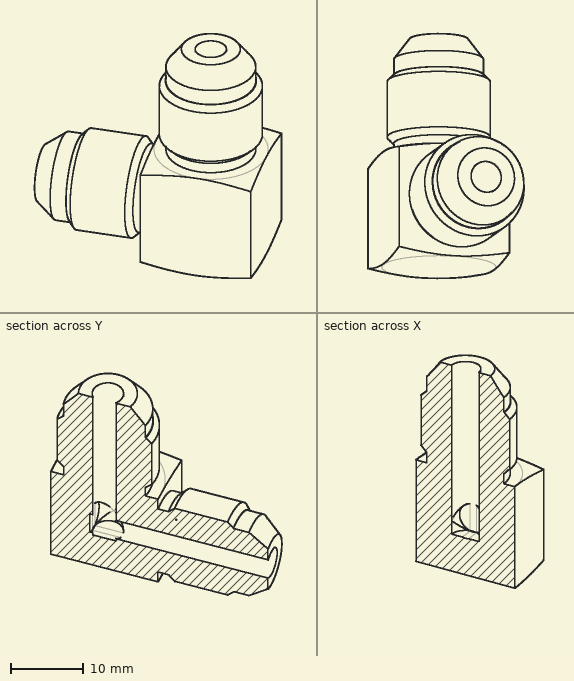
import cadquery as cq
import math

overall_size = 32.13
block_side = 15.88
half_block = block_side / 2
corner_bevel_angle = 15.0
bevel_circle_radius = 7.9

arm_reach = overall_size - half_block
tip_radius = 4.08
neck_radius = 6.225
shoulder_width = 0.07
shoulder_radius = neck_radius + shoulder_width
thread_diameter = 14.29
thread_radius = thread_diameter / 2
outer_chamfer = thread_radius - shoulder_radius
inner_chamfer = thread_radius - neck_radius
flare_angle = 37.0
flare_length = (neck_radius - tip_radius) / math.tan(math.radians(flare_angle))
nose_length = 5.13
thread_length = 9.6
thread_end = arm_reach - nose_length
thread_start = thread_end - thread_length

bore_diameter = 4.34
bore_radius = bore_diameter / 2
bore_crossing_half_width = 0.5
bore_overrun = math.sqrt(bore_radius**2 - bore_crossing_half_width**2)


def along_both_arms(solid):
    """Return a solid built on +Z together with its copy turned to -X."""
    quarter_turn = -90
    return [solid, solid.rotate((0, 0, 0), (0, 1, 0), quarter_turn)]


def make_block():
    """Cube whose top and bottom corners are bevelled by shallow cones."""
    cube = cq.Workplane("XY").box(block_side, block_side, block_side)
    cone_radius = block_side
    cone_drop = (cone_radius - bevel_circle_radius) * math.tan(math.radians(corner_bevel_angle))
    rim_height = half_block - cone_drop
    bevel_envelope = (
        cq.Workplane("XZ")
        .moveTo(0, -half_block)
        .lineTo(bevel_circle_radius, -half_block)
        .lineTo(cone_radius, -rim_height)
        .lineTo(cone_radius, rim_height)
        .lineTo(bevel_circle_radius, half_block)
        .lineTo(0, half_block)
        .close()
        .revolve(360, (0, 0), (0, 1))
    )
    return cube.intersect(bevel_envelope)


def make_threaded_end():
    """Turned end on +Z: neck, chamfered thread land with a narrow outer shoulder, nose and flare cone."""
    return (
        cq.Workplane("XZ")
        .lineTo(neck_radius, 0)
        .lineTo(neck_radius, thread_start)
        .lineTo(thread_radius, thread_start + inner_chamfer)
        .lineTo(thread_radius, thread_end - outer_chamfer)
        .lineTo(shoulder_radius, thread_end)
        .lineTo(neck_radius, thread_end)
        .lineTo(neck_radius, arm_reach - flare_length)
        .lineTo(tip_radius, arm_reach)
        .lineTo(0, arm_reach)
        .close()
        .revolve(360, (0, 0), (0, 1))
    )


def make_bore():
    """Blind bore from the tip on +Z to just past the block centre."""
    return (
        cq.Workplane("XY")
        .workplane(offset=-bore_overrun)
        .circle(bore_radius)
        .extrude(arm_reach + bore_overrun)
    )


result = make_block()
for threaded_end in along_both_arms(make_threaded_end()):
    result = result.union(threaded_end)
for bore in along_both_arms(make_bore()):
    result = result.cut(bore)